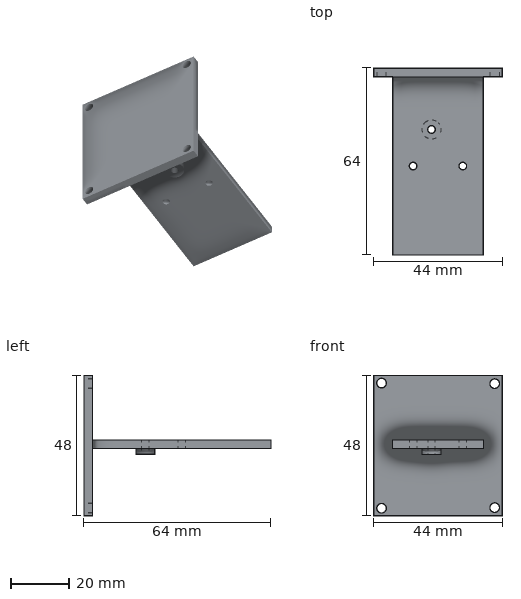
import cadquery as cq

plate_width = 44.0
plate_height = 48.0
plate_thickness = 3.0

shelf_width = 31.0
shelf_length = 61.0
shelf_thickness = 3.0
shelf_top_z = 2.0
shelf_bottom_z = shelf_top_z - shelf_thickness

corner_hole_diameter = 3.2
corner_hole_centres = [
    (-19.3, 21.4),
    (19.4, 21.2),
    (-19.3, -21.4),
    (19.4, -21.2),
]

shelf_hole_diameter = 2.5
hole_pair_x = 8.5
hole_pair_y = -30.5
hole_spacing_y = 12.5
boss_x = -2.2
boss_y = hole_pair_y + hole_spacing_y
shelf_hole_centres = [(-hole_pair_x, hole_pair_y), (hole_pair_x, hole_pair_y), (boss_x, boss_y)]

boss_diameter = 6.5
boss_height = 2.0


def make_plate():
    """Upright plate with its four corner holes, front face on y = 0."""
    plate = cq.Workplane("XY").box(
        plate_width, plate_thickness, plate_height, centered=(True, False, True)
    )
    holes = (
        cq.Workplane("XZ")
        .pushPoints(corner_hole_centres)
        .circle(corner_hole_diameter / 2)
        .extrude(-plate_thickness)
    )
    return plate.cut(holes)


def make_shelf():
    """Shelf with the boss below it and three holes drilled through."""
    shelf = (
        cq.Workplane("XY", origin=(0, -shelf_length / 2, shelf_bottom_z))
        .rect(shelf_width, shelf_length)
        .extrude(shelf_thickness)
    )
    boss = (
        cq.Workplane("XY", origin=(boss_x, boss_y, shelf_bottom_z))
        .circle(boss_diameter / 2)
        .extrude(-boss_height)
    )
    holes = (
        cq.Workplane("XY", origin=(0, 0, shelf_top_z))
        .pushPoints(shelf_hole_centres)
        .circle(shelf_hole_diameter / 2)
        .extrude(-(shelf_thickness + boss_height))
    )
    return shelf.union(boss).cut(holes)


result = make_plate().union(make_shelf())